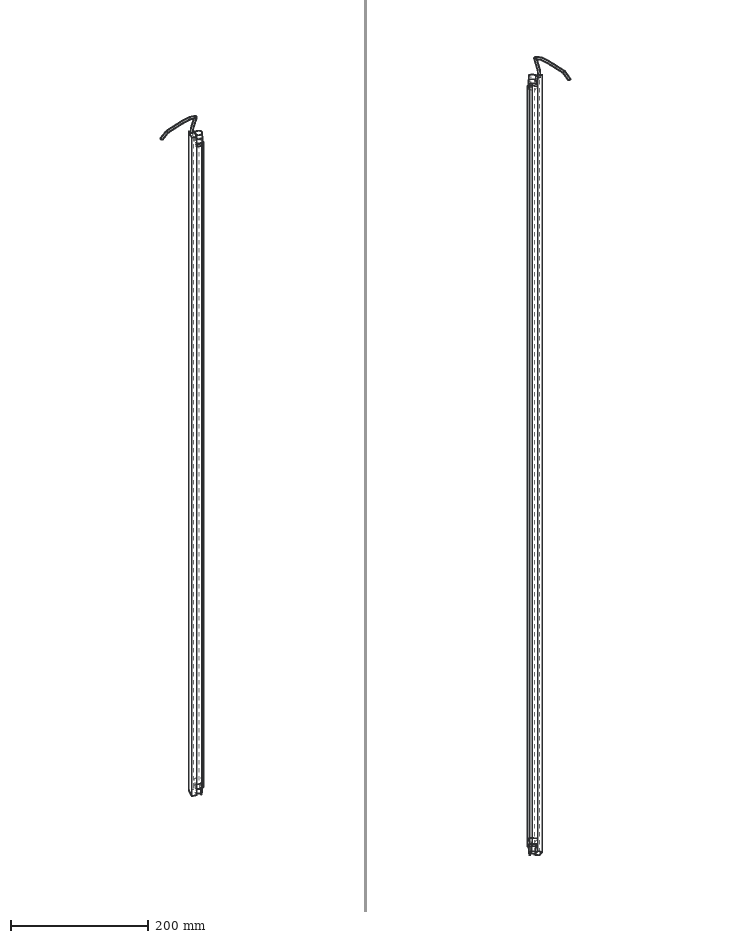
import cadquery as cq


back_y = 19.0
bar_back_width = 11.0
side_step = 2.0
side_taper = 0.07
rail_width = bar_back_width + 2 * side_step
bar_shoulder_width = rail_width - 2 * side_taper
bar_shoulder_y = back_y - 3.1
bar_bottom = 22.0
bar_top = 1200.0

rail_depth = 7.0
rail_bottom = 2.0
rail_top = 1218.0

boss_diameter = back_y - rail_depth
boss_y = rail_depth + boss_diameter / 2
neck_step = 0.2
neck_diameter = boss_diameter - 2 * neck_step
top_plate_end = bar_top + 4.0
top_neck_start = 1211.0
bottom_plate_end = bar_bottom - 9.0
bottom_neck_start = 10.7

pin_diameter = 1.2
pin_spacing = 9.0
pin_y = back_y - 3.0
pin_length = 12

overall_height = 1247
cable_diameter = 4.0
cable_top_z = overall_height - cable_diameter / 2
cable_x = -4.4
cable_engagement = 4.0
cable_start = (4.0, rail_top - cable_engagement)
cable_bends = [
    (4.4, 1226.0),
    (10.0, cable_top_z),
    (1.0, cable_top_z),
    (-10.0, 1241.0),
    (-34.0, 1228.0),
]
cable_end = (-42.0, 1217.0)


def bar_section(bottom, height):
    """A prism with the bar's tapered outline."""
    return (
        cq.Workplane("XY", origin=(0, 0, bottom))
        .polyline([
            (-rail_width / 2, rail_depth),
            (rail_width / 2, rail_depth),
            (bar_shoulder_width / 2, bar_shoulder_y),
            (bar_back_width / 2, back_y),
            (-bar_back_width / 2, back_y),
            (-bar_shoulder_width / 2, bar_shoulder_y),
        ])
        .close()
        .extrude(height)
    )


def cylinder(diameter, x, y, bottom, height):
    """An upright round piece."""
    return cq.Workplane("XY", origin=(x, y, bottom)).circle(diameter / 2).extrude(height)


def make_cable():
    """A round section swept along straight runs, rounded at each bend."""
    points = [cq.Vector(cable_x, y, z) for y, z in [cable_start, *cable_bends, cable_end]]
    path = cq.Workplane("XY").polyline(points)
    start = cq.Workplane("XY", origin=points[0].toTuple())
    return start.circle(cable_diameter / 2).sweep(path, transition="round")


def make_rail(cable):
    """The front strip, with a blind hole in its top for the cable."""
    rail = (
        cq.Workplane("XY", origin=(0, rail_depth / 2, rail_bottom))
        .rect(rail_width, rail_depth)
        .extrude(rail_top - rail_bottom)
    )
    return rail.cut(cable)


def make_cap(bar_end, plate_end, neck_start, neck_end):
    """A cap stacked outward from one end of the bar: plate, boss, then neck."""
    plate = bar_section(bar_end, plate_end - bar_end)
    boss = cylinder(boss_diameter, 0, boss_y, plate_end, neck_start - plate_end)
    neck = cylinder(neck_diameter, 0, boss_y, neck_start, neck_end - neck_start)
    return plate.union(boss).union(neck)


def make_pin(x):
    """A contact pin that reaches up into the bottom cap."""
    return cylinder(pin_diameter, x, pin_y, 0, pin_length)


cable = make_cable()
rail = make_rail(cable)
bar = bar_section(bar_bottom, bar_top - bar_bottom)
top_cap = make_cap(bar_top, top_plate_end, top_neck_start, rail_top)
pins = [make_pin(side * pin_spacing / 2) for side in (-1, 1)]
bottom_cap = make_cap(bar_bottom, bottom_plate_end, bottom_neck_start, rail_bottom)
for pin in pins:
    bottom_cap = bottom_cap.cut(pin)

result = cq.Compound.makeCompound([
    rail.val(),
    bar.val(),
    top_cap.val(),
    bottom_cap.val(),
    cable.val(),
    *[pin.val() for pin in pins],
])